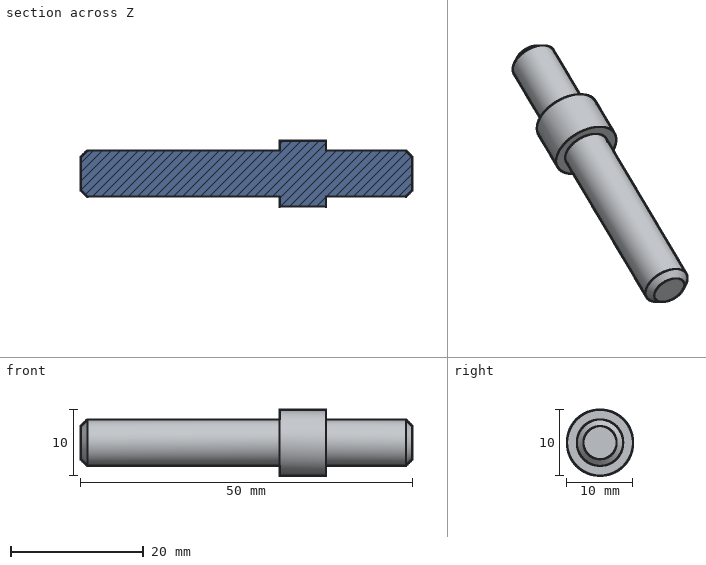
import cadquery as cq

total_length = 50.0
shaft_diameter = 7.0
collar_diameter = 10.0
collar_start = 30.0
collar_length = 7.0
end_chamfer = 1.0


def cylinder_along_x(start, length, diameter):
    """Solid cylinder on the X axis, beginning at the given X position."""
    return cq.Workplane("YZ", origin=(start, 0, 0)).circle(diameter / 2).extrude(length)


pin_start = -total_length / 2
pin = cylinder_along_x(pin_start, total_length, shaft_diameter)
pin = pin.faces("<X or >X").edges().chamfer(end_chamfer)

collar = cylinder_along_x(pin_start + collar_start, collar_length, collar_diameter)

result = pin.union(collar)